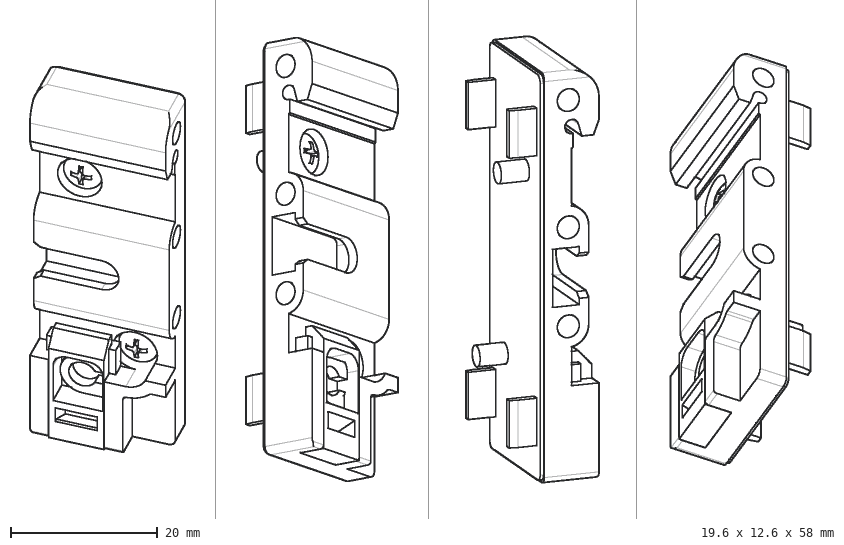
import cadquery as cq
import math


WIDTH = 19.6
HEIGHT = 58.0
HALF_WIDTH = WIDTH / 2
BODY_BACK = 8.0
LIP_BACK = 8.5
LIP_INSET = 0.3
CORNER_RADIUS = 1.0
FLOOR_Y = 4.0
CUT_MARGIN = 2.0

FOOT_TOP = 13.55
FOOT_EDGE_RADIUS = 0.5
CROSS_HOLE_DIAMETER = 3.2
CROSS_HOLE_Y = 4.5
CROSS_HOLE_HEIGHTS = (22.0, 36.0, 54.0)
RIDGE_RADIUS = 3.0
RIDGE_FRONT = CROSS_HOLE_Y - RIDGE_RADIUS
TOP_RADIUS = 4.0
HOOK_TIP_Z = 48.7
HOOK_TIP_FRONT = 0.8
HOOK_TIP_BACK = 2.5
HOOK_BEVEL_TOP = 50.8
RELIEF_RADIUS = 1.0
RELIEF_Y = FLOOR_Y
RELIEF_Z = 50.2
SEAT_Y = 3.8
SEAT_BOTTOM = 47.1
SEAT_BEVEL = 0.2

SLOT_Z = 29.0
SLOT_END_X = 2.5
SLOT_WIDTH = 5.0
SLOT_MOUTH_WIDTH = 6.4
SLOT_FLARE = 1.0
CAVITY_FRONT = 2.9
CAVITY_BACK = 6.8
CAVITY_HEIGHT = 8.2
CAVITY_END_X = 5.0
CAVITY_CORNER_RADIUS = 0.9

SCREW_X = 4.0
SCREW_RISE = 14.0
SCREW_PLACES = ((-SCREW_X, HEIGHT / 2 + SCREW_RISE), (SCREW_X, HEIGHT / 2 - SCREW_RISE))
SHANK_DIAMETER = 3.0
SCREW_TIP = 12.6
HEAD_DIAMETER = 5.6
HEAD_TOP = 4.2
HEAD_RIM = 5.3
HEAD_SEAT = 6.6
COUNTERBORE_DIAMETER = 6.4
DRIVE_LENGTH = 3.0
DRIVE_WIDTH = 0.6
DRIVE_CORNER_RADIUS = 0.35
DRIVE_BOTTOM = 5.6

TAB_INNER_X = 7.2
TAB_THICKNESS = 1.1
TAB_LENGTH = 6.7
TAB_RISE = 20.5
TAB_BACK = 12.5
TAB_TAPER_DEPTH = 1.2
TAB_TAPER = 0.2

LATCH_X = -3.1
LATCH_WIDTH = 8.0
LATCH_GAP = 0.05
LATCH_TOP = 17.6
LATCH_BEVEL_Y = 2.0
LATCH_BEVEL_BOTTOM = 15.5
LATCH_NOSE_BACK = 3.1
EAR_SPAN = 10.0
EAR_FRONT = 2.0
EAR_TOP = 16.0
LATCH_LEFT = LATCH_X - LATCH_WIDTH / 2
LATCH_RIGHT = LATCH_X + LATCH_WIDTH / 2

FOOT_RIGHT_X = 3.6
ARM_BOTTOM = 11.45
ARM_CURVE_RADIUS = 5.05
ARM_BLEND_RADIUS = 0.7
LOW_SCREW_X, LOW_SCREW_Z = SCREW_PLACES[1]
FOOT_STEP_Z = LOW_SCREW_Z - COUNTERBORE_DIAMETER / 2

POCKET_LEFT = -6.45
POCKET_WIDTH = 7.2
POCKET_BOTTOM = 6.6
POCKET_HEIGHT = 8.05
POCKET_RADIUS = 2.0
POCKET_FLOOR = 3.6
POCKET_X = POCKET_LEFT + POCKET_WIDTH / 2
RING_Z = 10.72
RING_OUTER_RADIUS = 3.25
RING_INNER_RADIUS = 2.0
RING_GAP = 1.9
RING_FRONT = 1.9
RING_FOOT_RIGHT = 0.05

WINDOW_WIDTH = 6.0
WINDOW_X = -3.1
WINDOW_TOP = 5.4
WINDOW_SILL = 3.05
WINDOW_LIP_Y = 0.35
WINDOW_LIP_Z = 3.2
WINDOW_ROOF_SLOPE = 0.4
WINDOW_FLOOR_SLOPE = 0.5


def front_sketch(y):
    """Workplane facing the front at depth y; extrude by a negative length to go back."""
    return cq.Workplane("XZ", origin=(0, y, 0))


def block(x0, x1, y0, y1, z0, z1):
    return cq.Workplane("XY").box(x1 - x0, y1 - y0, z1 - z0, centered=False).translate((x0, y0, z0))


def cylinder_along_y(x, z, diameter, y0, y1):
    return front_sketch(y0).center(x, z).circle(diameter / 2).extrude(y0 - y1)


def rounded_plate(inset, y0, y1):
    plate = block(-HALF_WIDTH + inset, HALF_WIDTH - inset, y0, y1, inset, HEIGHT - inset)
    return plate.edges("|Y").fillet(CORNER_RADIUS)


def rail_profile():
    """Side outline, extruded across the full width."""
    ridge_offset = math.sqrt(RIDGE_RADIUS**2 - (CROSS_HOLE_Y - FLOOR_Y) ** 2)
    ridge_low, ridge_high, _ = CROSS_HOLE_HEIGHTS
    cos45 = math.sqrt(0.5)

    def ridge_mid(centre_z, side):
        ridge_angle = math.pi - math.acos((FLOOR_Y - CROSS_HOLE_Y) / RIDGE_RADIUS)
        angle = ridge_angle / 2
        return (
            CROSS_HOLE_Y - RIDGE_RADIUS * math.cos(angle),
            centre_z + side * RIDGE_RADIUS * math.sin(angle),
        )

    to_tip_y = HOOK_TIP_BACK - RELIEF_Y
    to_tip_z = HOOK_TIP_Z - RELIEF_Z
    tip_distance = math.hypot(to_tip_y, to_tip_z)
    tangent_angle = math.atan2(to_tip_z, to_tip_y) - math.acos(RELIEF_RADIUS / tip_distance)
    tangent_point = (
        RELIEF_Y + RELIEF_RADIUS * math.cos(tangent_angle),
        RELIEF_Z + RELIEF_RADIUS * math.sin(tangent_angle),
    )
    relief_start_z = RELIEF_Z - math.sqrt(RELIEF_RADIUS**2 - (RELIEF_Y - SEAT_Y) ** 2)

    foot_arc_mid = FOOT_EDGE_RADIUS * (1 - cos45)
    top_arc_mid = TOP_RADIUS * (1 - cos45)
    outline = (
        cq.Workplane("YZ", origin=(-HALF_WIDTH, 0, 0))
        .moveTo(BODY_BACK, 0)
        .lineTo(FOOT_EDGE_RADIUS, 0)
        .threePointArc((foot_arc_mid, foot_arc_mid), (0, FOOT_EDGE_RADIUS))
        .lineTo(0, FOOT_TOP)
        .lineTo(FLOOR_Y, FOOT_TOP)
        .lineTo(FLOOR_Y, ridge_low - ridge_offset)
        .threePointArc(ridge_mid(ridge_low, -1), (RIDGE_FRONT, ridge_low))
        .lineTo(RIDGE_FRONT, ridge_high)
        .threePointArc(ridge_mid(ridge_high, 1), (FLOOR_Y, ridge_high + ridge_offset))
        .lineTo(FLOOR_Y, SEAT_BOTTOM)
        .lineTo(SEAT_Y, SEAT_BOTTOM + SEAT_BEVEL)
        .lineTo(SEAT_Y, relief_start_z)
        .threePointArc((RELIEF_Y + RELIEF_RADIUS, RELIEF_Z), tangent_point)
        .lineTo(HOOK_TIP_BACK, HOOK_TIP_Z)
        .lineTo(HOOK_TIP_FRONT, HOOK_TIP_Z)
        .lineTo(0, HOOK_BEVEL_TOP)
        .lineTo(0, HEIGHT - TOP_RADIUS)
        .threePointArc((top_arc_mid, HEIGHT - top_arc_mid), (TOP_RADIUS, HEIGHT))
        .lineTo(BODY_BACK, HEIGHT)
        .close()
    )
    return outline.extrude(WIDTH)


def cross_holes():
    return (
        cq.Workplane("YZ", origin=(-HALF_WIDTH, 0, 0))
        .pushPoints([(CROSS_HOLE_Y, z) for z in CROSS_HOLE_HEIGHTS])
        .circle(CROSS_HOLE_DIAMETER / 2)
        .extrude(WIDTH)
    )


def side_t_slot():
    """Round-ended front slot with a flared mouth, opening into a wider cavity."""
    half = SLOT_WIDTH / 2
    half_mouth = SLOT_MOUTH_WIDTH / 2
    slot = (
        front_sketch(0)
        .moveTo(-HALF_WIDTH, SLOT_Z - half_mouth)
        .lineTo(-HALF_WIDTH + SLOT_FLARE, SLOT_Z - half)
        .lineTo(SLOT_END_X - half, SLOT_Z - half)
        .threePointArc((SLOT_END_X, SLOT_Z), (SLOT_END_X - half, SLOT_Z + half))
        .lineTo(-HALF_WIDTH + SLOT_FLARE, SLOT_Z + half)
        .lineTo(-HALF_WIDTH, SLOT_Z + half_mouth)
        .close()
        .extrude(-CAVITY_FRONT)
    )
    cavity = block(
        -HALF_WIDTH, CAVITY_END_X, CAVITY_FRONT, CAVITY_BACK,
        SLOT_Z - CAVITY_HEIGHT / 2, SLOT_Z + CAVITY_HEIGHT / 2,
    )
    cavity = cavity.edges("|Y and >X").fillet(CAVITY_CORNER_RADIUS)
    return slot.union(cavity)


def right_foot_recess():
    """Set-back corner below the arm; its upper edge curves around the lower screw."""
    recess = block(FOOT_RIGHT_X, HALF_WIDTH + CUT_MARGIN, 0, FLOOR_Y, -CUT_MARGIN, ARM_BOTTOM)
    recess = recess.cut(cylinder_along_y(LOW_SCREW_X, LOW_SCREW_Z, 2 * ARM_CURVE_RADIUS, 0, FLOOR_Y))
    return recess.edges("|Y").fillet(ARM_BLEND_RADIUS)


def latch_bay():
    """Channel for the latch, and the lowered shoulder on its right."""
    channel = block(LATCH_LEFT - LATCH_GAP, LATCH_RIGHT + LATCH_GAP, 0, FLOOR_Y, 0, FOOT_TOP)
    shoulder = block(LATCH_RIGHT, LOW_SCREW_X, 0, FLOOR_Y, FOOT_STEP_Z, FOOT_TOP)
    return channel.union(shoulder)


def rear_tab(side, z):
    inner = side * TAB_INNER_X
    outer = side * (TAB_INNER_X + TAB_THICKNESS)
    return (
        cq.Workplane("XY", origin=(0, 0, z - TAB_LENGTH / 2))
        .moveTo(inner, BODY_BACK)
        .lineTo(outer, BODY_BACK)
        .lineTo(outer, TAB_BACK - TAB_TAPER_DEPTH)
        .lineTo(outer - side * TAB_TAPER, TAB_BACK)
        .lineTo(inner, TAB_BACK)
        .close()
        .extrude(TAB_LENGTH)
    )


def make_housing():
    housing = rail_profile().intersect(rounded_plate(0, 0, BODY_BACK))
    housing = housing.union(rounded_plate(LIP_INSET, BODY_BACK, LIP_BACK))
    housing = housing.cut(cross_holes()).cut(side_t_slot())
    housing = housing.cut(right_foot_recess()).cut(latch_bay())
    for x, z in SCREW_PLACES:
        housing = housing.cut(cylinder_along_y(x, z, COUNTERBORE_DIAMETER, 0, HEAD_SEAT))
        housing = housing.cut(cylinder_along_y(x, z, SHANK_DIAMETER, HEAD_SEAT, LIP_BACK))
    for side in (-1, 1):
        for direction in (-1, 1):
            housing = housing.union(rear_tab(side, HEIGHT / 2 + direction * TAB_RISE))
    return housing


def latch_pocket():
    pocket = block(
        POCKET_LEFT, POCKET_LEFT + POCKET_WIDTH, 0, POCKET_FLOOR,
        POCKET_BOTTOM, POCKET_BOTTOM + POCKET_HEIGHT,
    )
    return pocket.edges("|Y and >Z").fillet(POCKET_RADIUS)


def pocket_ring():
    """Ring open to the right, with both ends running out straight."""
    pocket_right = POCKET_LEFT + POCKET_WIDTH
    ring = cylinder_along_y(POCKET_X, RING_Z, 2 * RING_OUTER_RADIUS, RING_FRONT, POCKET_FLOOR)
    upper_end = block(
        POCKET_X, pocket_right, RING_FRONT, POCKET_FLOOR, RING_Z, RING_Z + RING_OUTER_RADIUS
    )
    lower_end = block(
        POCKET_X, RING_FOOT_RIGHT, RING_FRONT, POCKET_FLOOR, RING_Z - RING_OUTER_RADIUS, RING_Z
    )
    gap = block(
        POCKET_X, pocket_right, RING_FRONT, POCKET_FLOOR, RING_Z - RING_GAP / 2, RING_Z + RING_GAP / 2
    )
    bore = cylinder_along_y(POCKET_X, RING_Z, 2 * RING_INNER_RADIUS, RING_FRONT, POCKET_FLOOR)
    ring = ring.union(upper_end).union(lower_end).cut(gap).cut(bore)
    return ring.intersect(latch_pocket())


def latch_window():
    roof_drop = WINDOW_ROOF_SLOPE * FLOOR_Y
    floor_drop = WINDOW_FLOOR_SLOPE * (FLOOR_Y - WINDOW_LIP_Y)
    return (
        cq.Workplane("YZ", origin=(WINDOW_X - WINDOW_WIDTH / 2, 0, 0))
        .moveTo(0, WINDOW_SILL)
        .lineTo(WINDOW_LIP_Y, WINDOW_LIP_Z)
        .lineTo(FLOOR_Y, WINDOW_LIP_Z - floor_drop)
        .lineTo(FLOOR_Y, WINDOW_TOP - roof_drop)
        .lineTo(0, WINDOW_TOP)
        .close()
        .extrude(WINDOW_WIDTH)
    )


def make_latch():
    latch = (
        cq.Workplane("YZ", origin=(LATCH_LEFT, 0, 0))
        .moveTo(0, 0)
        .lineTo(FLOOR_Y, 0)
        .lineTo(FLOOR_Y, EAR_TOP)
        .lineTo(LATCH_NOSE_BACK, EAR_TOP)
        .lineTo(LATCH_NOSE_BACK, LATCH_TOP)
        .lineTo(LATCH_BEVEL_Y, LATCH_TOP)
        .lineTo(0, LATCH_BEVEL_BOTTOM)
        .close()
        .extrude(LATCH_WIDTH)
    )
    left_ear = block(LATCH_X - EAR_SPAN / 2, LATCH_X, EAR_FRONT, FLOOR_Y, FOOT_TOP, EAR_TOP)
    right_ear = block(LATCH_X, LATCH_X + EAR_SPAN / 2, EAR_FRONT, FLOOR_Y, FOOT_STEP_Z, EAR_TOP)
    latch = latch.union(left_ear).union(right_ear)
    return latch.cut(latch_pocket()).union(pocket_ring()).cut(latch_window())


def drive_recess():
    """Cross recess with rounded inner corners."""
    half_length = DRIVE_LENGTH / 2
    half_width = DRIVE_WIDTH / 2
    reach = DRIVE_WIDTH
    across = block(-half_length, half_length, HEAD_TOP, DRIVE_BOTTOM, -half_width, half_width)
    upright = block(-half_width, half_width, HEAD_TOP, DRIVE_BOTTOM, -half_length, half_length)
    inner = cq.selectors.BoxSelector((-reach, HEAD_TOP, -reach), (reach, DRIVE_BOTTOM, reach))
    return across.union(upright).edges("|Y").edges(inner).fillet(DRIVE_CORNER_RADIUS)


def make_screw(x, z):
    head_radius = HEAD_DIAMETER / 2
    shank_radius = SHANK_DIAMETER / 2
    dome_height = HEAD_RIM - HEAD_TOP
    dome_radius = (head_radius**2 + dome_height**2) / (2 * dome_height)
    mid_x = head_radius / 2
    mid_y = HEAD_TOP + dome_radius - math.sqrt(dome_radius**2 - mid_x**2)
    screw = (
        cq.Workplane("XY")
        .moveTo(0, HEAD_TOP)
        .threePointArc((mid_x, mid_y), (head_radius, HEAD_RIM))
        .lineTo(head_radius, HEAD_SEAT)
        .lineTo(shank_radius, HEAD_SEAT)
        .lineTo(shank_radius, SCREW_TIP)
        .lineTo(0, SCREW_TIP)
        .close()
        .revolve(360, (0, 0, 0), (0, 1, 0))
    )
    return screw.cut(drive_recess()).translate((x, 0, z))


housing = make_housing()
latch = make_latch()
screws = [make_screw(x, z) for x, z in SCREW_PLACES]

result = cq.Compound.makeCompound([housing.val(), latch.val(), *[screw.val() for screw in screws]])